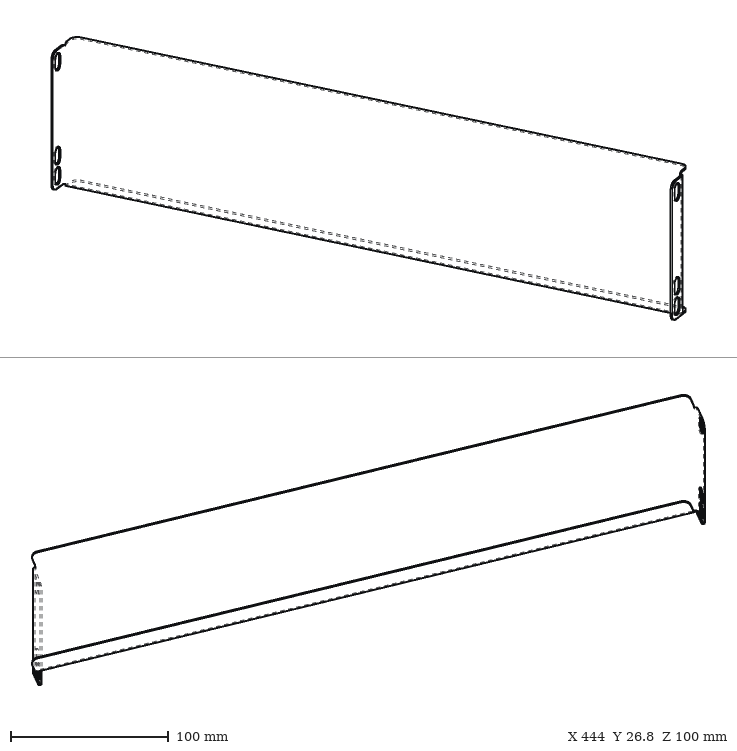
import cadquery as cq

LENGTH = 444.0
DEPTH = 26.8
HEIGHT = 100.0

SHEET = 1.2
INNER_RADIUS = 1.0
OUTER_RADIUS = INNER_RADIUS + SHEET

FLANGE_DEPTH = 12.0
FLANGE_LENGTH = LENGTH - 2 * OUTER_RADIUS
FLANGE_CORNER_RADIUS = 5.0

TAB_HEIGHT = 96.0
TAB_CORNER_RADIUS = 5.0

SLOT_WIDTH = 7.0
SLOT_LENGTH = 12.0
SLOT_Y_FROM_TAB_EDGE = 7.0
SLOT_HEIGHTS = (-39.5, -25.5, 39.5)

TAB_EDGE_Y = FLANGE_DEPTH - DEPTH
SLOT_Y = TAB_EDGE_Y + SLOT_Y_FROM_TAB_EDGE


def channel():
    """Web with its top and bottom flanges, bent as one U-shaped profile."""
    outer = (
        cq.Workplane("XY")
        .box(FLANGE_LENGTH, FLANGE_DEPTH, HEIGHT, centered=(True, False, True))
        .edges("|X and <Y")
        .fillet(OUTER_RADIUS)
    )
    inner = (
        cq.Workplane("XY")
        .box(FLANGE_LENGTH, FLANGE_DEPTH, HEIGHT - 2 * SHEET, centered=(True, False, True))
        .translate((0, SHEET, 0))
        .edges("|X and <Y")
        .fillet(INNER_RADIUS)
    )
    return outer.cut(inner)


def round_flange_corners(body):
    """Round the free corners of both flanges."""
    return body.edges("|Z and >Y").fillet(FLANGE_CORNER_RADIUS)


def right_tab():
    """L-shaped bend and tab at the +X end, with rounded corners and slots."""
    edge_x = LENGTH / 2
    bend_x = edge_x - OUTER_RADIUS
    bend_y = -INNER_RADIUS
    tab = (
        cq.Workplane("XY")
        .moveTo(bend_x, SHEET)
        .radiusArc((edge_x, bend_y), OUTER_RADIUS)
        .lineTo(edge_x, TAB_EDGE_Y)
        .lineTo(edge_x - SHEET, TAB_EDGE_Y)
        .lineTo(edge_x - SHEET, bend_y)
        .radiusArc((bend_x, 0), -INNER_RADIUS)
        .close()
        .extrude(TAB_HEIGHT / 2, both=True)
        .edges("|X and <Y")
        .fillet(TAB_CORNER_RADIUS)
    )
    slots = (
        cq.Workplane("YZ", origin=(bend_x, 0, 0))
        .pushPoints([(SLOT_Y, height) for height in SLOT_HEIGHTS])
        .slot2D(SLOT_LENGTH, SLOT_WIDTH, 90)
        .extrude(2 * OUTER_RADIUS)
    )
    return tab.cut(slots)


body = round_flange_corners(channel())
tab = right_tab()
result = body.union(tab).union(tab.mirror("YZ"))